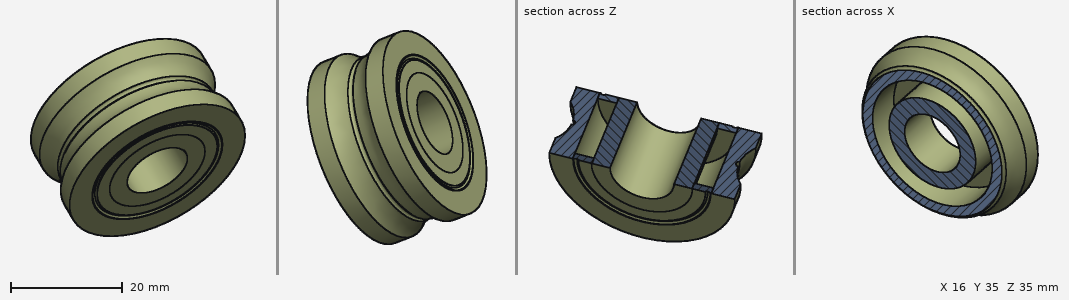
import cadquery as cq
import math

roller_radius = 35 / 2
bearing_width = 16.0
half_width = bearing_width / 2

track_half_width = 4.35
track_arc_radius = 6.15
relief_half_width = 0.52
relief_bottom_radius = 15.22

bore_radius = 12.0 / 2
inner_ring_radius = 19.0 / 2
roller_bore_radius = 26.0 / 2

seal_thickness = 1.4
channel_start_radius = 11.97
channel_step_depth = 0.1
channel_floor_radius = 12.32
channel_depth = 0.25
rim_radius = 12.85


def revolve_about_x(profile):
    """Turn a profile of axial position against radius into a full ring."""
    return profile.close().revolve(360, (0, 0, 0), (1, 0, 0))


def track_surface_radius(axial_position):
    """Radius of the track surface at a distance from the middle plane."""
    arc_centre_radius = roller_radius + math.sqrt(track_arc_radius**2 - track_half_width**2)
    return arc_centre_radius - math.sqrt(track_arc_radius**2 - axial_position**2)


def make_roller():
    track_middle = (track_half_width + relief_half_width) / 2
    track_middle_radius = track_surface_radius(track_middle)
    relief_edge_radius = track_surface_radius(relief_half_width)
    profile = (
        cq.Workplane("XY")
        .moveTo(-half_width, roller_bore_radius)
        .lineTo(-half_width, roller_radius)
        .lineTo(-track_half_width, roller_radius)
        .threePointArc((-track_middle, track_middle_radius), (-relief_half_width, relief_edge_radius))
        .threePointArc((0, relief_bottom_radius), (relief_half_width, relief_edge_radius))
        .threePointArc((track_middle, track_middle_radius), (track_half_width, roller_radius))
        .lineTo(half_width, roller_radius)
        .lineTo(half_width, roller_bore_radius)
    )
    return revolve_about_x(profile)


def make_inner_ring():
    profile = (
        cq.Workplane("XY")
        .moveTo(-half_width, bore_radius)
        .lineTo(-half_width, inner_ring_radius)
        .lineTo(half_width, inner_ring_radius)
        .lineTo(half_width, bore_radius)
    )
    return revolve_about_x(profile)


def make_seal(side):
    """Seal at one end; side is -1 for the -X end and +1 for the +X end."""
    outer_face = side * half_width
    inner_face = side * (half_width - seal_thickness)
    step_foot = side * (half_width - channel_step_depth)
    channel_floor = side * (half_width - channel_depth)

    arc_span = rim_radius - channel_floor_radius
    arc_radius = (arc_span**2 + channel_depth**2) / (2 * channel_depth)
    half_angle = math.asin(arc_span / arc_radius) / 2
    arc_middle = (
        side * (half_width - channel_depth + arc_radius * (1 - math.cos(half_angle))),
        channel_floor_radius + arc_radius * math.sin(half_angle),
    )
    profile = (
        cq.Workplane("XY")
        .moveTo(inner_face, inner_ring_radius)
        .lineTo(outer_face, inner_ring_radius)
        .lineTo(outer_face, channel_start_radius)
        .lineTo(step_foot, channel_start_radius)
        .lineTo(channel_floor, channel_floor_radius)
        .threePointArc(arc_middle, (outer_face, rim_radius))
        .lineTo(outer_face, roller_bore_radius)
        .lineTo(inner_face, roller_bore_radius)
    )
    return revolve_about_x(profile)


roller = make_roller()
inner_ring = make_inner_ring()
seals = [make_seal(side) for side in (-1, 1)]

result = cq.Compound.makeCompound([roller.val(), inner_ring.val(), *[seal.val() for seal in seals]])